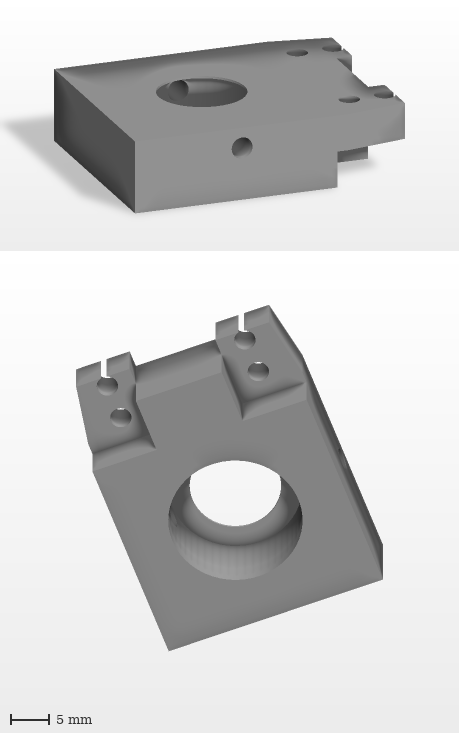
import cadquery as cq

width = 30.0
length = 38.37
height = 10.0

taper_length = 8.48
taper_inset = 1.5

bore_diameter = 12.0
tongue_width = bore_diameter
notch_depth = 2.3
step_height = height / 2
shoulder_y = 28.35

bore_y = 15.0
cavity_diameter = 17.6
lip_thickness = 0.3

cross_hole_diameter = 2.9
cross_hole_z = 7.2

ear_hole_diameter = 2.8
ear_hole_spacing_x = 19.25
ear_hole_pitch_y = 5.0
rear_hole_y = 37.03


def tapered_block():
    half_width = width / 2
    rear_half_width = half_width - taper_inset
    taper_y = length - taper_length
    outline = [
        (-half_width, 0),
        (half_width, 0),
        (half_width, taper_y),
        (rear_half_width, length),
        (-rear_half_width, length),
        (-half_width, taper_y),
    ]
    return cq.Workplane("XY").polyline(outline).close().extrude(height)


def rear_notch():
    return (
        cq.Workplane("XY")
        .box(tongue_width, notch_depth, height, centered=(True, False, False))
        .translate((0, length - notch_depth, 0))
    )


def step_around_tongue():
    """Lower rear half, leaving only the central tongue."""
    step_length = length - shoulder_y
    lower_half = cq.Workplane("XY").box(width, step_length, step_height, centered=(True, False, False))
    tongue = cq.Workplane("XY").box(tongue_width, step_length, step_height, centered=(True, False, False))
    return lower_half.cut(tongue).translate((0, shoulder_y, 0))


def stepped_bore():
    bore = cq.Workplane("XY").center(0, bore_y).circle(bore_diameter / 2).extrude(height)
    cavity = (
        cq.Workplane("XY")
        .center(0, bore_y)
        .circle(cavity_diameter / 2)
        .extrude(height - lip_thickness)
    )
    return bore.union(cavity)


def cross_hole():
    return (
        cq.Workplane("YZ")
        .center(bore_y, cross_hole_z)
        .circle(cross_hole_diameter / 2)
        .extrude(width / 2, both=True)
    )


def ear_holes():
    half_spacing = ear_hole_spacing_x / 2
    centres = [
        (x, y)
        for x in (-half_spacing, half_spacing)
        for y in (rear_hole_y, rear_hole_y - ear_hole_pitch_y)
    ]
    return cq.Workplane("XY").pushPoints(centres).circle(ear_hole_diameter / 2).extrude(height)


result = (
    tapered_block()
    .cut(rear_notch())
    .cut(step_around_tongue())
    .cut(stepped_bore())
    .cut(cross_hole())
    .cut(ear_holes())
)